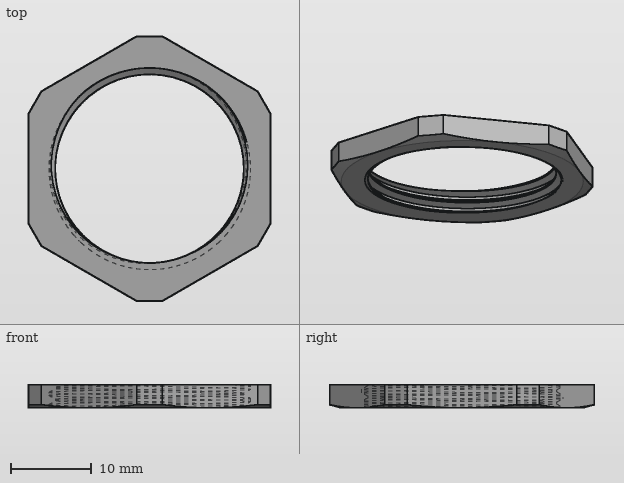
import cadquery as cq
import math

across_flats = 30.0
across_corners = 32.78
thickness = 2.9
minor_radius = 11.67
pitch = 1.5
chamfer_angle = 15.0

flank_half_angle = 30.0
root_width = pitch / 4
crest_width = pitch / 8
flank_tangent = math.tan(math.radians(flank_half_angle))
thread_depth = (pitch - root_width - crest_width) / (2 * flank_tangent)
cutter_overlap = 0.05
root_angle = 90.0


def nut_blank():
    """Hexagon with flats facing +X and -X and its six corners cut off flat."""
    sharp_diameter = across_flats / math.cos(math.radians(30))
    hexagon = cq.Workplane("XY").polygon(6, sharp_diameter).extrude(thickness)
    hexagon = hexagon.rotate((0, 0, 0), (0, 0, 1), 30)
    corner_cutter = cq.Workplane("XY").polygon(6, across_corners / math.cos(math.radians(30)))
    return hexagon.intersect(corner_cutter.extrude(thickness))


def chamfer_envelope():
    """Round envelope that slopes the bottom corners down to the inscribed circle."""
    bottom_radius = across_flats / 2
    outer_radius = across_corners
    rise = (outer_radius - bottom_radius) * math.tan(math.radians(chamfer_angle))
    return (
        cq.Workplane("XZ")
        .moveTo(0, 0)
        .lineTo(bottom_radius, 0)
        .lineTo(outer_radius, rise)
        .lineTo(0, rise)
        .close()
        .revolve(360, (0, 0, 0), (0, 1, 0))
    )


def thread_cutter():
    """Right-handed helical groove running past both faces of the nut."""
    turns_below = math.ceil(thickness / pitch) + 1
    turns = turns_below + 1
    start_height = thickness - turns_below * pitch
    inner_radius = minor_radius - cutter_overlap
    root_radius = minor_radius + thread_depth
    half_root = root_width / 2
    half_mouth = half_root + (thread_depth + cutter_overlap) * flank_tangent
    helix = cq.Wire.makeHelix(pitch, turns * pitch, minor_radius)
    helix = helix.translate(cq.Vector(0, 0, start_height))
    cutter = (
        cq.Workplane("XZ", origin=(0, 0, start_height))
        .moveTo(inner_radius, -half_mouth)
        .lineTo(root_radius, -half_root)
        .lineTo(root_radius, half_root)
        .lineTo(inner_radius, half_mouth)
        .close()
        .sweep(cq.Workplane(obj=helix), isFrenet=True)
    )
    return cutter.rotate((0, 0, 0), (0, 0, 1), root_angle)


bore = cq.Workplane("XY").circle(minor_radius).extrude(thickness)
result = nut_blank().intersect(chamfer_envelope()).cut(bore).cut(thread_cutter())